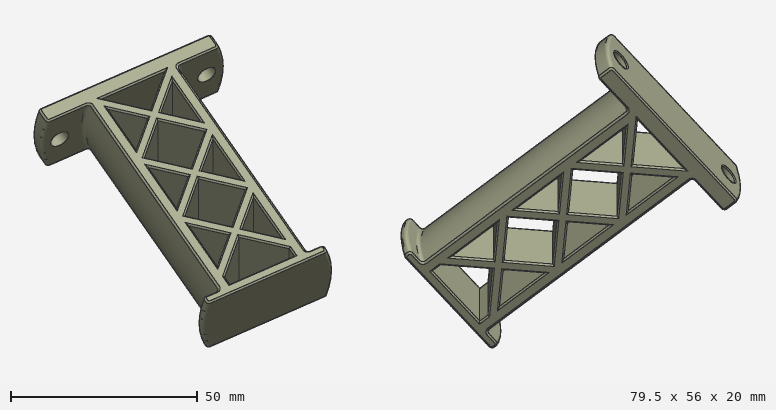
import cadquery as cq
import math

length = 79.5
height = 20.0
base_width = 56.0
tip_width = 40.0
body_width = 30.0
base_thickness = 5.0
tip_thickness = 2.5
side_radius = 30.0

upright_round = 0.95
rim_chamfer = 0.5
hole_chamfer = 0.3

hole_diameter = 5.4
hole_spacing = 45.0

window_width = 19.8
window_end_x = 76.5
bar_width = 2.9
bar_angle = 45
cross_pitch = 22.5
first_cross_x = 16.7
cross_count = 3

tip_x = length - tip_thickness
half_height = height / 2
side_bulge = side_radius - math.sqrt(side_radius**2 - half_height**2)


def bulged_block(width, x_start, x_end):
    """Block along X with flat top and bottom and arc-shaped sides."""
    side = width / 2
    corner = side - side_bulge
    return (
        cq.Workplane("YZ", origin=(x_start, 0, 0))
        .moveTo(-corner, -half_height)
        .lineTo(corner, -half_height)
        .threePointArc((side, 0), (corner, half_height))
        .lineTo(-corner, half_height)
        .threePointArc((-side, 0), (-corner, -half_height))
        .close()
        .extrude(x_end - x_start)
    )


def lattice_windows():
    """Cutter for the openings left between the crossed bars."""
    window_length = window_end_x - base_thickness
    windows = cq.Workplane("XY", origin=(base_thickness + window_length / 2, 0, 0)).box(
        window_length, window_width, height
    )
    bar_length = 2 * window_width
    for index in range(cross_count):
        cross_x = first_cross_x + index * cross_pitch
        for angle in (bar_angle, -bar_angle):
            bar = (
                cq.Workplane("XY")
                .box(bar_length, bar_width, height)
                .rotate((0, 0, 0), (0, 0, 1), angle)
                .translate((cross_x, 0, 0))
            )
            windows = windows.cut(bar)
    return windows


base_plate = bulged_block(base_width, 0, base_thickness)
tip_plate = bulged_block(tip_width, tip_x, length)
body = bulged_block(body_width, base_thickness, tip_x)
frame = base_plate.union(body).union(tip_plate)
frame = frame.edges("%CIRCLE").fillet(upright_round)

frame = frame.cut(lattice_windows())
frame = frame.faces("<Z or >Z").edges().chamfer(rim_chamfer)

holes = (
    cq.Workplane("YZ")
    .pushPoints([(-hole_spacing / 2, 0), (hole_spacing / 2, 0)])
    .circle(hole_diameter / 2)
    .extrude(base_thickness)
)
result = frame.cut(holes)
result = result.faces("<X").edges("%CIRCLE").chamfer(hole_chamfer)